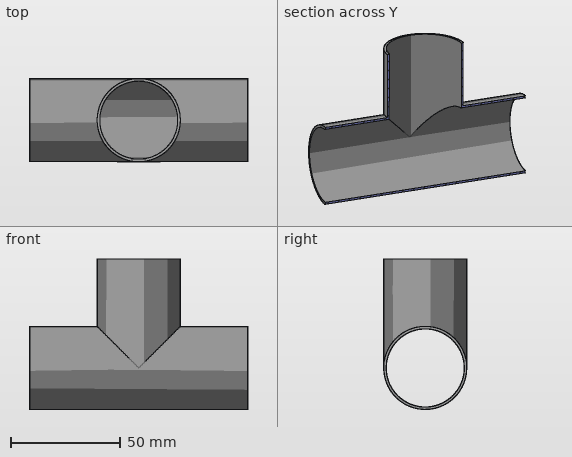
import cadquery as cq

outer_diameter = 38.1
wall_thickness = 1.2
run_length = 100.0
branch_height = run_length / 2

bore_diameter = outer_diameter - 2 * wall_thickness


def tee_body(diameter):
    """Solid tee of one diameter, with both axes meeting at the origin."""
    run = cq.Workplane("YZ").circle(diameter / 2).extrude(run_length / 2, both=True)
    branch = cq.Workplane("XY").circle(diameter / 2).extrude(branch_height)
    return run.union(branch)


result = tee_body(outer_diameter).cut(tee_body(bore_diameter))